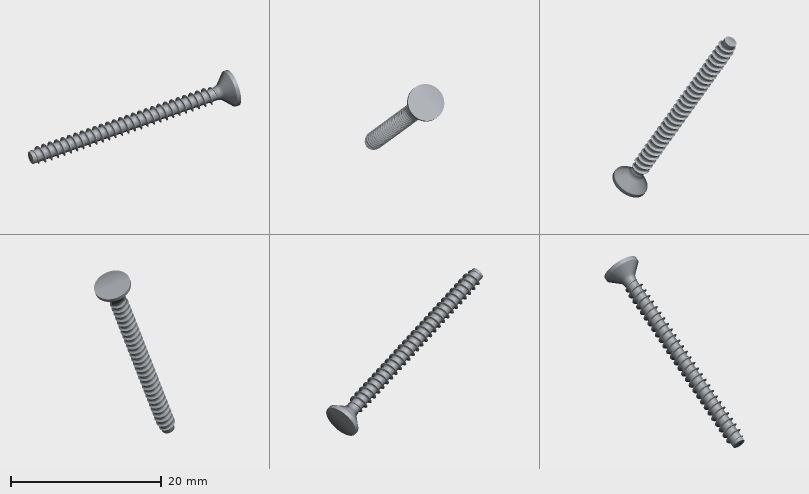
import cadquery as cq
import math


SCREW_LENGTH = 30.0

HEAD_RADIUS = 2.5
RIM_THICKNESS = 0.55
RIM_ROUND = 0.12
CONE_ANGLE = math.radians(45)
NECK_RADIUS = 0.95
NECK_FILLET = 0.87
NECK_TAPER_LENGTH = 0.25

CORE_RADIUS = 0.875
THREAD_RADIUS = 1.25
PITCH = 0.95
CREST_WIDTH = 0.04
FLANK_ANGLE = math.radians(16)
ROOT_WIDTH = 0.88
ROOT_FLARE_HEIGHT = 0.06
ROOT_OVERLAP = 0.06
CREST_DEPTH_AT_TOP = 3.88
FULL_THREAD_START = 3.43
FULL_THREAD_END = 28.80
RUN_IN_TURNS = 1.0
RUN_OUT_TURNS = 1.2
SUNKEN_WIDTH_SHARE = 0.1
SPLINE_POINTS_PER_TURN = 16

fillet_start_radius = NECK_RADIUS + NECK_FILLET * (1 - math.cos(CONE_ANGLE))
fillet_start_depth = RIM_THICKNESS + (HEAD_RADIUS - fillet_start_radius) / math.tan(CONE_ANGLE)
fillet_end_depth = fillet_start_depth + NECK_FILLET * math.sin(CONE_ANGLE)
core_start_depth = fillet_end_depth + NECK_TAPER_LENGTH

rim_round_start_depth = RIM_THICKNESS - RIM_ROUND * math.tan(CONE_ANGLE / 2)


def neck_fillet_point(angle):
    """Point of the neck fillet where its surface leans by the given angle from the axis."""
    radius = NECK_RADIUS + NECK_FILLET * (1 - math.cos(angle))
    depth = fillet_end_depth - NECK_FILLET * math.sin(angle)
    return radius, -depth


def rim_round_point(angle):
    """Point of the rim round where its surface leans by the given angle from the axis."""
    radius = HEAD_RADIUS - RIM_ROUND * (1 - math.cos(angle))
    depth = rim_round_start_depth + RIM_ROUND * math.sin(angle)
    return radius, -depth


def make_body():
    """Head, filleted neck and plain core."""
    outline = (
        cq.Workplane("XY")
        .lineTo(HEAD_RADIUS, 0)
        .lineTo(HEAD_RADIUS, -rim_round_start_depth)
        .threePointArc(rim_round_point(CONE_ANGLE / 2), rim_round_point(CONE_ANGLE))
        .lineTo(*neck_fillet_point(CONE_ANGLE))
        .threePointArc(neck_fillet_point(CONE_ANGLE / 2), neck_fillet_point(0))
        .lineTo(CORE_RADIUS, -core_start_depth)
        .lineTo(CORE_RADIUS, -SCREW_LENGTH)
        .lineTo(0, -SCREW_LENGTH)
        .close()
    )
    return outline.revolve(360, (0, 0, 0), (0, 1, 0))


def thread_profile():
    """Corners of the thread section as (radius, offset along the axis)."""
    flare_radius = CORE_RADIUS + ROOT_FLARE_HEIGHT
    half_crest = CREST_WIDTH / 2
    half_flare = half_crest + (THREAD_RADIUS - flare_radius) * math.tan(FLANK_ANGLE)
    half_root = ROOT_WIDTH / 2
    tip_side = [
        (CORE_RADIUS - ROOT_OVERLAP, half_root),
        (flare_radius, half_flare),
        (THREAD_RADIUS, half_crest),
    ]
    head_side = [(radius, -offset) for radius, offset in reversed(tip_side)]
    return tip_side + head_side


def sunken_profile(profile):
    """The same section narrowed, and flattened until its crest is inside the core."""
    base_radius = CORE_RADIUS - ROOT_OVERLAP
    sunken_crest_radius = CORE_RADIUS - ROOT_OVERLAP / 2
    flattening = (sunken_crest_radius - base_radius) / (THREAD_RADIUS - base_radius)
    return [
        (base_radius + (radius - base_radius) * flattening, offset * SUNKEN_WIDTH_SHARE)
        for radius, offset in profile
    ]


def helix_point(depth, radius, offset):
    """Point of a right-hand helix that is on the +Z side at the crest depth."""
    angle = 2 * math.pi * (depth - CREST_DEPTH_AT_TOP) / PITCH
    return cq.Vector(-radius * math.sin(angle), -(depth + offset), radius * math.cos(angle))


def corner_edge(start_depth, end_depth, start_corner, end_corner):
    """Helical edge along which one corner of the section moves from start to end."""
    steps = math.ceil(SPLINE_POINTS_PER_TURN * (end_depth - start_depth) / PITCH)
    points = []
    for step in range(steps + 1):
        share = step / steps
        depth = start_depth + share * (end_depth - start_depth)
        radius = start_corner[0] + share * (end_corner[0] - start_corner[0])
        offset = start_corner[1] + share * (end_corner[1] - start_corner[1])
        points.append(helix_point(depth, radius, offset))
    return cq.Edge.makeSpline(points)


def section_face(depth, profile):
    """Flat face closing the thread at one depth."""
    corners = [helix_point(depth, radius, offset) for radius, offset in profile]
    return cq.Face.makeFromWires(cq.Wire.makePolygon(corners, close=True))


def thread_sides(start_depth, end_depth, start_profile, end_profile):
    """Ruled helical faces joining two thread sections."""
    edges = [
        corner_edge(start_depth, end_depth, start_corner, end_corner)
        for start_corner, end_corner in zip(start_profile, end_profile)
    ]
    next_edges = edges[1:] + edges[:1]
    return [cq.Face.makeRuledSurface(edge, other) for edge, other in zip(edges, next_edges)]


def make_thread():
    """Full-height thread that rises from the core near the head and sinks back at the tip."""
    full = thread_profile()
    sunken = sunken_profile(full)
    first_depth = FULL_THREAD_START - RUN_IN_TURNS * PITCH
    last_depth = FULL_THREAD_END + RUN_OUT_TURNS * PITCH
    faces = [
        section_face(first_depth, sunken),
        *thread_sides(first_depth, FULL_THREAD_START, sunken, full),
        *thread_sides(FULL_THREAD_START, FULL_THREAD_END, full, full),
        *thread_sides(FULL_THREAD_END, last_depth, full, sunken),
        section_face(last_depth, sunken),
    ]
    return cq.Solid.makeSolid(cq.Shell.makeShell(faces)).fix()


result = make_body().union(cq.Workplane(obj=make_thread()))